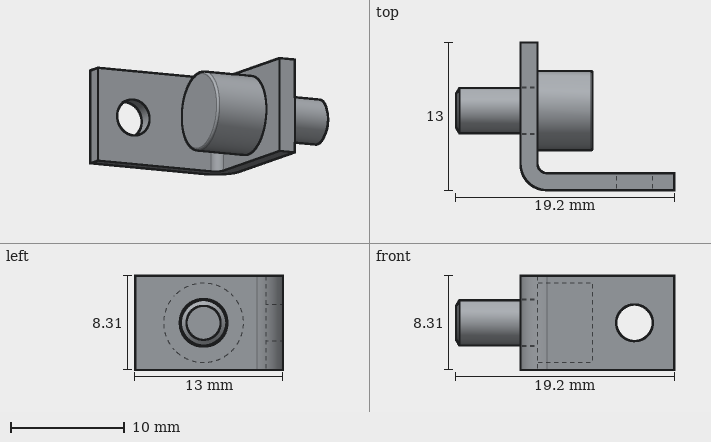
import cadquery as cq

thickness = 1.52
leg_x_length = 13.53
leg_y_length = 13.01
height = 8.31
inner_bend_radius = 0.8
outer_bend_radius = inner_bend_radius + thickness

mounting_hole_diameter = 3.2
mounting_hole_end_distance = 3.5

stud_y = 7.0
stud_diameter = 4.0
stud_projection = 5.65
stud_tip_diameter = 3.0
stud_tip_length = 0.3
stud_hole_diameter = 4.2
head_diameter = 7.0
head_length = 4.83
head_edge_radius = 0.2

mid_height = height / 2


def cylinder_along_x(diameter, x_start, x_end):
    """Cylinder on the stud axis between two X positions."""
    return (
        cq.Workplane("YZ", origin=(x_start, stud_y, mid_height))
        .circle(diameter / 2)
        .extrude(x_end - x_start)
    )


def make_bracket():
    """Bent sheet with its outer corner at the origin, pierced by both holes."""
    sheet = (
        cq.Workplane("XY")
        .polyline([
            (0, 0),
            (leg_x_length, 0),
            (leg_x_length, thickness),
            (thickness, thickness),
            (thickness, leg_y_length),
            (0, leg_y_length),
        ])
        .close()
        .extrude(height)
    )
    sheet = sheet.edges(cq.NearestToPointSelector((0, 0, mid_height))).fillet(outer_bend_radius)
    inner_corner = cq.NearestToPointSelector((thickness, thickness, mid_height))
    sheet = sheet.edges(inner_corner).fillet(inner_bend_radius)

    mounting_hole = (
        cq.Workplane("XZ", origin=(leg_x_length - mounting_hole_end_distance, 0, mid_height))
        .circle(mounting_hole_diameter / 2)
        .extrude(-thickness)
    )
    stud_hole = cylinder_along_x(stud_hole_diameter, 0, thickness)
    return sheet.cut(mounting_hole).cut(stud_hole)


def make_stud():
    """Stud with a tapered tip, and a head seated on the inside of the Y leg."""
    tip_start_x = stud_tip_length - stud_projection
    shank = cylinder_along_x(stud_diameter, tip_start_x, thickness)
    tip = (
        cq.Workplane("YZ", origin=(-stud_projection, stud_y, mid_height))
        .circle(stud_tip_diameter / 2)
        .workplane(offset=stud_tip_length)
        .circle(stud_diameter / 2)
        .loft(ruled=True)
    )
    head = cylinder_along_x(head_diameter, thickness, thickness + head_length)
    head = head.faces(">X").edges().fillet(head_edge_radius)
    return shank.union(tip).union(head)


result = make_bracket().union(make_stud())